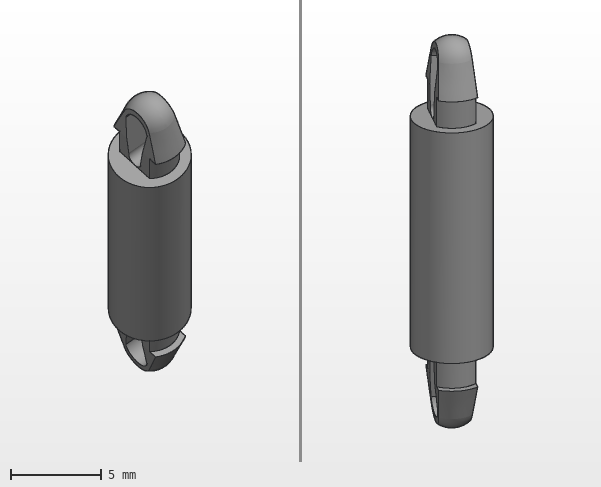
import cadquery as cq
import math

total_length = 23.6
barrel_length = 14.0
barrel_diameter = 4.6
stem_radius = 1.68
lip_radius = 2.08
lip_to_tip = 3.02
dome_radius = 1.49
lip_half_thickness = 1.1
tip_half_thickness = 0.87
slot_tip_gap = 0.68
slot_outer_radius = 0.9
slot_inner_radius = 0.5

tip_z = total_length / 2
barrel_top_z = barrel_length / 2
lip_z = tip_z - lip_to_tip
dome_center_z = tip_z - dome_radius
slot_outer_z = tip_z - slot_tip_gap - slot_outer_radius
slot_inner_z = barrel_top_z + slot_inner_radius


def make_barrel():
    """Plain cylinder centred on the origin."""
    return cq.Workplane("XY").cylinder(barrel_length, barrel_diameter / 2)


def make_head():
    """Cone flaring down to the lip, tangent to a spherical dome."""
    lip_drop = dome_center_z - lip_z
    lip_distance = math.hypot(lip_radius, lip_drop)
    tangent_angle = math.acos(dome_radius / lip_distance) - math.atan2(lip_drop, lip_radius)

    def dome_point(angle):
        return (dome_radius * math.cos(angle), dome_center_z + dome_radius * math.sin(angle))

    return (
        cq.Workplane("XZ")
        .moveTo(0, lip_z)
        .lineTo(lip_radius, lip_z)
        .lineTo(*dome_point(tangent_angle))
        .threePointArc(dome_point((tangent_angle + math.pi / 2) / 2), (0, tip_z))
        .close()
        .revolve(360, (0, 0, 0), (0, 1, 0))
    )


def make_side_envelope():
    """Slab with parallel sides along the stem and tapered sides along the head."""
    half_profile = [
        (lip_half_thickness, barrel_top_z),
        (lip_half_thickness, lip_z),
        (tip_half_thickness, tip_z),
    ]
    mirrored_profile = [(-y, z) for y, z in reversed(half_profile)]
    return cq.Workplane("YZ").polyline(half_profile + mirrored_profile).close().extrude(lip_radius, both=True)


def make_slot():
    """Teardrop through the clip: two arcs joined by their common tangents."""
    tangent_angle = math.asin((slot_outer_radius - slot_inner_radius) / (slot_outer_z - slot_inner_z))

    def tangent_point(radius, center_z):
        return (radius * math.cos(tangent_angle), center_z + radius * math.sin(tangent_angle))

    outer_x, outer_z = tangent_point(slot_outer_radius, slot_outer_z)
    inner_x, inner_z = tangent_point(slot_inner_radius, slot_inner_z)
    return (
        cq.Workplane("XZ")
        .moveTo(inner_x, inner_z)
        .lineTo(outer_x, outer_z)
        .threePointArc((0, slot_outer_z + slot_outer_radius), (-outer_x, outer_z))
        .lineTo(-inner_x, inner_z)
        .threePointArc((0, barrel_top_z), (inner_x, inner_z))
        .close()
        .extrude(barrel_diameter / 2, both=True)
    )


def make_clip():
    """Snap-in clip standing on the upper end of the barrel."""
    stem = cq.Workplane("XY").workplane(offset=barrel_top_z).circle(stem_radius).extrude(lip_z - barrel_top_z)
    return stem.union(make_head()).intersect(make_side_envelope()).cut(make_slot())


upper_clip = make_clip()
lower_clip = upper_clip.mirror("XY")
result = make_barrel().union(upper_clip).union(lower_clip)